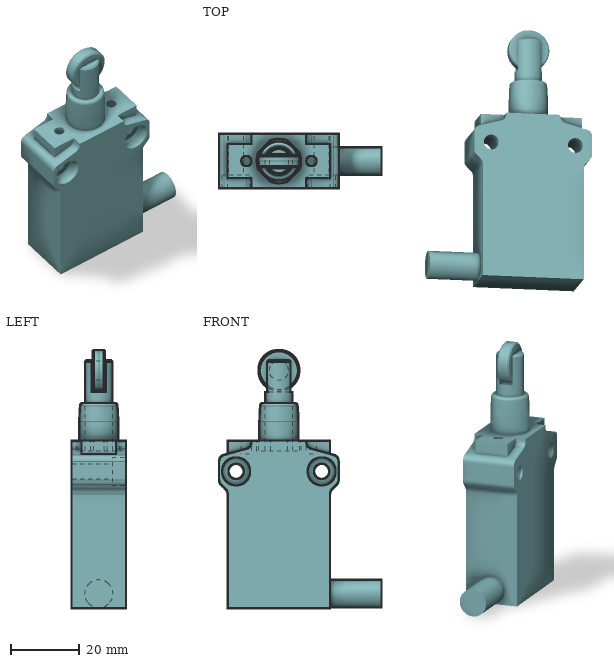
import cadquery as cq
import math


body_width = 30.0
body_depth = 16.0
body_height = 49.0
lug_width = 35.0
bridge_width = 16.0
spine_depth = 10.0
shoulder_angle = 15.0
shoulder_outer_height = 44.45
lug_lower_height = 36.7
lug_round = 2.0
overhang = (lug_width - body_width) / 2

mount_spacing = 25.0
mount_height = 40.0
mount_hole_diameter = 4.4
mount_counterbore_diameter = 8.2
mount_counterbore_depth = 4.0
top_hole_spacing = 19.0
top_hole_diameter = 3.0
top_hole_depth = 4.0

cable_diameter = 8.2
cable_length = 15.0
cable_height = 4.25

flange_diameter = 13.0
flange_across_flats = 12.0
flange_thickness = 3.0
bushing_diameter = 11.5
bushing_neck_diameter = 11.0
bushing_taper_start = 54.5
bushing_top = 60.0
bushing_round = 0.9
flange_bottom = body_height - flange_thickness

plunger_diameter = 8.1
plunger_top = 72.5
plunger_chamfer = 0.5
fork_slot_width = 4.2
fork_slot_floor = 63.2

roller_diameter = 12.0
roller_width = 3.6
roller_chamfer = 0.4
roller_height = 69.5
axle_diameter = 5.6


def lug_outline():
    """Front outline of the housing, up to the shoulder slopes, as a sketch on the XZ plane."""
    half_body = body_width / 2
    half_lug = lug_width / 2
    half_bridge = bridge_width / 2
    shoulder_rise = (half_lug - half_bridge) * math.tan(math.radians(shoulder_angle))
    right_side = [
        (half_body, 0),
        (half_body, lug_lower_height - overhang),
        (half_lug, lug_lower_height),
        (half_lug, shoulder_outer_height),
        (half_bridge, shoulder_outer_height + shoulder_rise),
        (half_bridge, body_height),
    ]
    left_side = [(-x, z) for x, z in reversed(right_side)]
    return right_side + left_side


def make_flange():
    """Disc with four flats, which fills its seat in the housing top."""
    disc = (
        cq.Workplane("XY", origin=(0, 0, flange_bottom))
        .circle(flange_diameter / 2)
        .extrude(flange_thickness)
    )
    square = (
        cq.Workplane("XY", origin=(0, 0, flange_bottom))
        .transformed(rotate=(0, 0, 45))
        .rect(flange_across_flats, flange_across_flats)
        .extrude(flange_thickness)
    )
    return disc.intersect(square)


def make_housing():
    housing = (
        cq.Workplane("XZ")
        .polyline(lug_outline())
        .close()
        .extrude(body_depth / 2, both=True)
    )
    below_top = cq.selectors.BoxSelector(
        (-lug_width, -body_depth, 1), (lug_width, body_depth, body_height - 1)
    )
    housing = housing.edges("|Y").edges(below_top).fillet(lug_round)

    spine_bottom = lug_lower_height
    spine = (
        cq.Workplane("XY", origin=(0, 0, spine_bottom))
        .rect(body_width, spine_depth)
        .extrude(body_height - spine_bottom)
    )
    housing = housing.union(spine)

    housing = (
        housing.faces("<Y")
        .workplane(origin=(0, -body_depth / 2, mount_height))
        .pushPoints([(-mount_spacing / 2, 0), (mount_spacing / 2, 0)])
        .cboreHole(mount_hole_diameter, mount_counterbore_diameter, mount_counterbore_depth)
    )
    housing = (
        housing.faces(">Z")
        .workplane(origin=(0, 0, body_height))
        .pushPoints([(-top_hole_spacing / 2, 0), (top_hole_spacing / 2, 0)])
        .hole(top_hole_diameter, top_hole_depth)
    )
    return housing.cut(make_flange())


def make_cable():
    return (
        cq.Workplane("YZ", origin=(body_width / 2, 0, cable_height))
        .circle(cable_diameter / 2)
        .extrude(cable_length)
    )


def make_bushing():
    """Flanged sleeve whose upper part curves inward to a rounded rim."""
    radius = bushing_diameter / 2
    neck_radius = bushing_neck_diameter / 2
    neck_height = bushing_top - bushing_round
    rim_radius = neck_radius - bushing_round
    profile = (
        cq.Workplane("XZ")
        .moveTo(0, flange_bottom)
        .lineTo(radius, flange_bottom)
        .lineTo(radius, bushing_taper_start)
        .tangentArcPoint((neck_radius, neck_height), relative=False)
        .radiusArc((rim_radius, bushing_top), -bushing_round)
        .lineTo(0, bushing_top)
        .close()
    )
    sleeve = profile.revolve(360, (0, 0, 0), (0, 1, 0))
    bore = (
        cq.Workplane("XY", origin=(0, 0, flange_bottom))
        .circle(plunger_diameter / 2)
        .extrude(bushing_top - flange_bottom)
    )
    return sleeve.union(make_flange()).cut(bore)


def make_plunger():
    """Round stem whose top is slotted along X into a fork for the roller."""
    stem = (
        cq.Workplane("XY", origin=(0, 0, flange_bottom))
        .circle(plunger_diameter / 2)
        .extrude(plunger_top - flange_bottom)
        .faces(">Z")
        .chamfer(plunger_chamfer)
    )
    slot = (
        cq.Workplane("XY", origin=(0, 0, fork_slot_floor))
        .rect(2 * plunger_diameter, fork_slot_width)
        .extrude(plunger_top - fork_slot_floor)
    )
    return stem.cut(slot)


def make_roller():
    return (
        cq.Workplane("XZ", origin=(0, 0, roller_height))
        .circle(roller_diameter / 2)
        .extrude(roller_width / 2, both=True)
        .edges()
        .chamfer(roller_chamfer)
        .cut(make_axle())
    )


def make_axle():
    """Pin that fills the roller bore and bears on both fork arms."""
    return (
        cq.Workplane("XZ", origin=(0, 0, roller_height))
        .circle(axle_diameter / 2)
        .extrude(fork_slot_width / 2, both=True)
    )


housing = make_housing()
cable = make_cable()
bushing = make_bushing()
plunger = make_plunger()
roller = make_roller()
axle = make_axle()

result = cq.Compound.makeCompound(
    [housing.val(), cable.val(), bushing.val(), plunger.val(), roller.val(), axle.val()]
)